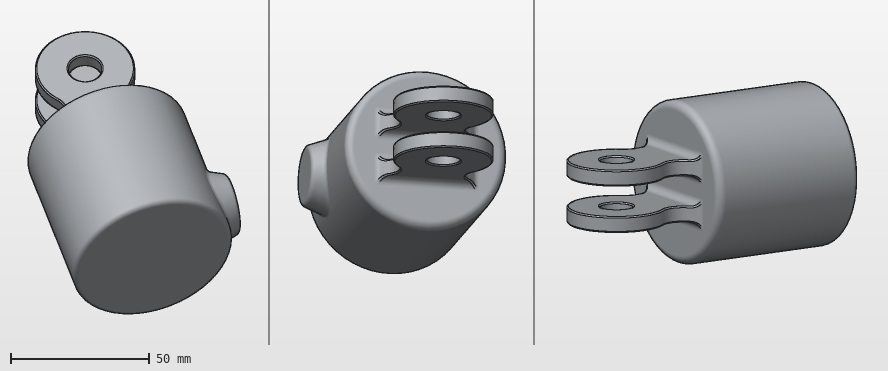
import cadquery as cq
import math

total_length = 103.0
body_diameter = 60.0
body_length = 60.0
front_fillet = 3.0
rear_fillet = 2.0
body_front = total_length - body_length
body_radius = body_diameter / 2

eye_radius = 18.0
eye_hole_diameter = 12.0
lug_thickness = 6.0
lug_pitch = 17.2
waist_radius = 7.5
waist_offset = 16.0
flare_angle = math.radians(45)
lug_root_fillet = 3.0
lug_chamfer = 0.5
root_overlap = 2.1

boss_x = 86.0
boss_top = 35.0
boss_top_radius = 11.0
boss_taper = math.radians(20)
boss_fillet = 2.0
joint_margin = 0.5
boss_start = 22.7


def make_body():
    body = cq.Workplane("YZ", origin=(body_front, 0, 0)).circle(body_radius).extrude(body_length)
    body = body.faces("<X").edges().fillet(front_fillet)
    return body.faces(">X").edges().fillet(rear_fillet)


def make_boss():
    base_radius = boss_top_radius + (boss_top - boss_start) * math.tan(boss_taper)
    profile = cq.Workplane("XY", origin=(boss_x, 0, 0)).polyline([
        (0, boss_start),
        (base_radius, boss_start),
        (boss_top_radius, boss_top),
        (0, boss_top),
    ]).close()
    boss = profile.revolve(360, (0, 0, 0), (0, 1, 0))
    return boss.faces(">Y").edges().fillet(boss_fillet)


def make_lug(z_middle):
    """Round eye narrowing through two waist arcs, then flaring into the body."""
    eye_x = eye_radius
    waist_x = eye_x + waist_offset
    centre_distance = eye_radius + waist_radius
    waist_y = math.sqrt(centre_distance**2 - waist_offset**2)
    tangent_x = eye_x + eye_radius * waist_offset / centre_distance
    tangent_y = eye_radius * waist_y / centre_distance
    flare_x = waist_x + waist_radius * math.sin(flare_angle)
    flare_y = waist_y - waist_radius * math.cos(flare_angle)
    waist_bottom_y = waist_y - waist_radius
    root_y = flare_y + (body_front - flare_x) * math.tan(flare_angle)
    root_x = body_front + root_overlap

    outline = (
        cq.Workplane("XY", origin=(0, 0, z_middle - lug_thickness / 2))
        .moveTo(tangent_x, tangent_y)
        .threePointArc((0, 0), (tangent_x, -tangent_y))
        .threePointArc((waist_x, -waist_bottom_y), (flare_x, -flare_y))
        .lineTo(body_front, -root_y)
        .lineTo(root_x, -root_y)
        .lineTo(root_x, root_y)
        .lineTo(body_front, root_y)
        .lineTo(flare_x, flare_y)
        .threePointArc((waist_x, waist_bottom_y), (tangent_x, tangent_y))
        .close()
    )
    return outline.extrude(lug_thickness)


def make_eye_hole():
    """Pin hole through both lugs, along Z."""
    return (
        cq.Workplane("XY", origin=(eye_radius, 0, 0))
        .circle(eye_hole_diameter / 2)
        .extrude(body_diameter / 2, both=True)
    )


result = make_body().union(make_boss())
boss_joint = cq.selectors.BoxSelector(
    (boss_x - body_radius / 2, boss_start, -body_radius),
    (boss_x + body_radius / 2, body_radius + joint_margin, body_radius),
    boundingbox=True,
)
result = result.edges(boss_joint).fillet(boss_fillet)

for side in (-1, 1):
    result = result.union(make_lug(side * lug_pitch / 2))
root_limit = eye_radius + lug_root_fillet
root_edges = cq.selectors.BoxSelector(
    (body_front - lug_chamfer, -root_limit, -root_limit),
    (body_front + lug_chamfer, root_limit, root_limit),
    boundingbox=True,
)
result = result.edges(root_edges).fillet(lug_root_fillet)

result = result.cut(make_eye_hole())
rim_edges = cq.selectors.BoxSelector(
    (-lug_chamfer, -root_limit, -root_limit),
    (body_front - lug_root_fillet / 2, root_limit, root_limit),
    boundingbox=True,
)
result = result.edges(rim_edges).edges("%CIRCLE").chamfer(lug_chamfer)